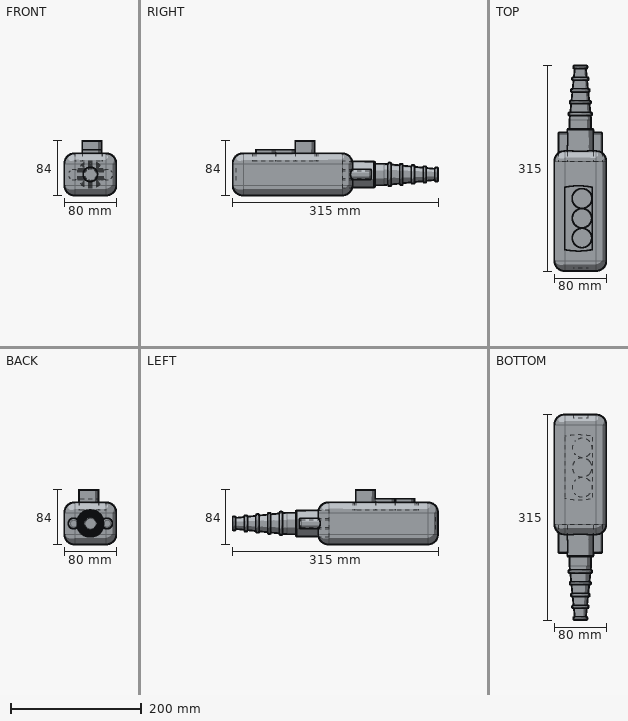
import cadquery as cq

HOUSING_WIDTH = 80.0
HOUSING_LENGTH = 184.0
HOUSING_HEIGHT = 65.0
HOUSING_ROUND = 16.0
AXIS_Z = HOUSING_HEIGHT / 2

WINDOW_LEFT = -23.5
WINDOW_RIGHT = 18.0
WINDOW_FRONT = 32.8
WINDOW_BACK = 128.5
WINDOW_BOW = 2.2
WINDOW_DEPTH = 11.5
WINDOW_FLOOR = HOUSING_HEIGHT - WINDOW_DEPTH

BUTTON_X = 2.5
LOW_BUTTON_COUNT = 2
BUTTON_PITCH = 30.2
FRONT_BUTTON_Y = 50.7
LOW_BUTTON_RADIUS = 14.8
TALL_BUTTON_RADIUS = 15.0
LOW_BUTTON_RISE = 5.7
TALL_BUTTON_RISE = 19.0

FRONT_HOLE_RADIUS = 11.0
FRONT_HOLE_DEPTH = 4.7

BOOT_TIP_Y = 315.0
BOOT_SEAT_Y = HOUSING_LENGTH - HOUSING_ROUND
SLEEVE_END_Y = 218.2
SLEEVE_SEAT_RADIUS = 20.8
SLEEVE_END_RADIUS = 20.0
SLEEVE_CHAMFER = 1.5
NECK_END_Y = 231.8
NECK_RADIUS = 16.7

RIB_COUNT = 5
RIB_PITCH = 18.0
RIB_RADIUS = 2.5
TIP_RIB_Y = BOOT_TIP_Y - RIB_RADIUS
TIP_CONE_RADIUS = 8.5
CONE_SLOPE = (NECK_RADIUS - TIP_CONE_RADIUS) / (TIP_RIB_Y - NECK_END_Y)

PEG_RADIUS = 8.2
PEG_OFFSET = 25.5
PEG_END_Y = 212.5
PEG_ROUND = 2.8


def cylinder_along_y(radius, x, start_y, end_y):
    """Cylinder parallel to Y at the height of the boot axis."""
    return cq.Workplane(
        cq.Solid.makeCylinder(radius, end_y - start_y, cq.Vector(x, start_y, AXIS_Z), cq.Vector(0, 1, 0))
    )


def cone_radius(y):
    return TIP_CONE_RADIUS + CONE_SLOPE * (TIP_RIB_Y - y)


def make_boot_core():
    """Revolved sleeve, neck and cone, without the ribs."""
    return (
        cq.Workplane("XY")
        .moveTo(0, BOOT_SEAT_Y)
        .lineTo(SLEEVE_SEAT_RADIUS, BOOT_SEAT_Y)
        .lineTo(SLEEVE_END_RADIUS, SLEEVE_END_Y - SLEEVE_CHAMFER)
        .lineTo(SLEEVE_END_RADIUS - SLEEVE_CHAMFER, SLEEVE_END_Y)
        .lineTo(NECK_RADIUS, SLEEVE_END_Y)
        .lineTo(NECK_RADIUS, NECK_END_Y)
        .lineTo(TIP_CONE_RADIUS, TIP_RIB_Y)
        .lineTo(TIP_CONE_RADIUS, BOOT_TIP_Y)
        .lineTo(0, BOOT_TIP_Y)
        .close()
        .revolve(360, (0, 0, 0), (0, 1, 0))
        .translate((0, 0, AXIS_Z))
    )


def make_rib(y):
    center = cq.Vector(0, y, AXIS_Z)
    return cq.Workplane(cq.Solid.makeTorus(cone_radius(y), RIB_RADIUS, center, cq.Vector(0, 1, 0)))


def make_peg(x):
    return cylinder_along_y(PEG_RADIUS, x, BOOT_SEAT_Y, PEG_END_Y).faces(">Y").edges().fillet(PEG_ROUND)


def make_boot():
    boot = make_boot_core()
    for x in (-PEG_OFFSET, PEG_OFFSET):
        boot = boot.union(make_peg(x))
    for index in range(RIB_COUNT):
        boot = boot.union(make_rib(TIP_RIB_Y - index * RIB_PITCH))
    return boot


def make_window():
    middle_x = (WINDOW_LEFT + WINDOW_RIGHT) / 2
    return (
        cq.Workplane("XY", origin=(0, 0, WINDOW_FLOOR))
        .moveTo(WINDOW_LEFT, WINDOW_FRONT)
        .threePointArc((middle_x, WINDOW_FRONT - WINDOW_BOW), (WINDOW_RIGHT, WINDOW_FRONT))
        .lineTo(WINDOW_RIGHT, WINDOW_BACK)
        .threePointArc((middle_x, WINDOW_BACK + WINDOW_BOW), (WINDOW_LEFT, WINDOW_BACK))
        .close()
        .extrude(WINDOW_DEPTH)
    )


def make_button(index, radius, rise):
    y = FRONT_BUTTON_Y + index * BUTTON_PITCH
    root_z = WINDOW_FLOOR - WINDOW_DEPTH / 2
    return (
        cq.Workplane("XY", origin=(BUTTON_X, y, root_z))
        .circle(radius)
        .extrude(HOUSING_HEIGHT + rise - root_z)
    )


def make_housing(boot):
    housing = (
        cq.Workplane("XY")
        .box(HOUSING_WIDTH, HOUSING_LENGTH, HOUSING_HEIGHT)
        .edges()
        .fillet(HOUSING_ROUND)
        .translate((0, HOUSING_LENGTH / 2, AXIS_Z))
    )
    housing = housing.cut(make_window())
    housing = housing.cut(cylinder_along_y(FRONT_HOLE_RADIUS, 0, 0, FRONT_HOLE_DEPTH))
    for index in range(LOW_BUTTON_COUNT):
        housing = housing.union(make_button(index, LOW_BUTTON_RADIUS, LOW_BUTTON_RISE))
    housing = housing.union(make_button(LOW_BUTTON_COUNT, TALL_BUTTON_RADIUS, TALL_BUTTON_RISE))
    return housing.cut(boot)


boot = make_boot()
housing = make_housing(boot)
result = cq.Compound.makeCompound([*housing.solids().vals(), *boot.solids().vals()])